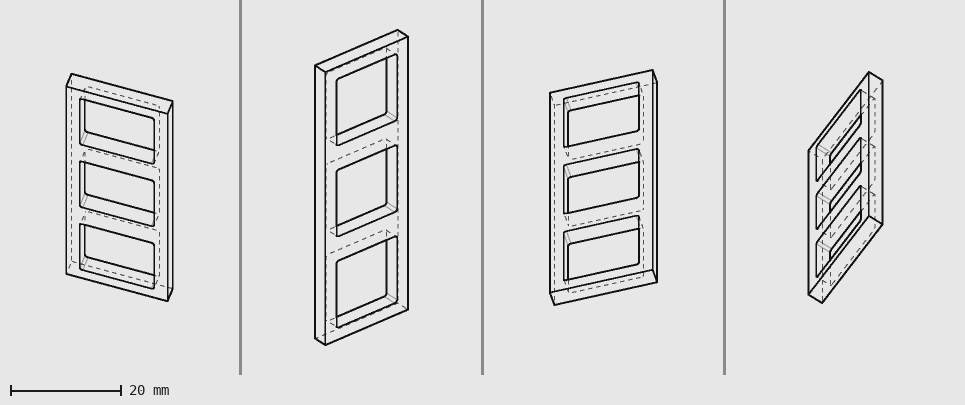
import cadquery as cq

height = 58.0
window_count = 3
cell = height / window_count
thickness = 3.0

window_side = 14.15
corner_radius = 0.5


def make_plate():
    return cq.Workplane("XY").box(cell, thickness, height)


def make_windows():
    return (
        cq.Workplane("XZ")
        .rarray(cell, cell, 1, window_count)
        .rect(window_side, window_side)
        .extrude(thickness / 2, both=True)
        .edges("|Y")
        .fillet(corner_radius)
    )


result = make_plate().cut(make_windows())